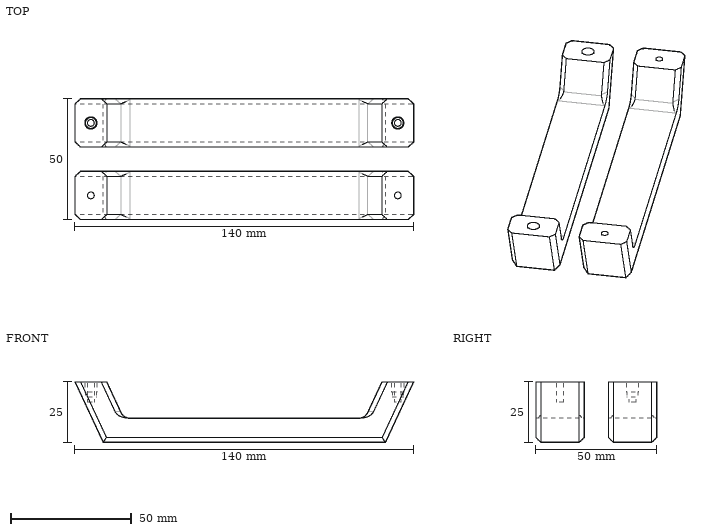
import cadquery as cq
import math

LENGTH = 140.0
TOTAL_DEPTH = 50.0
HEIGHT = 25.0
HANDLE_DEPTH = 20.0

LEG_ANGLE = 65.0
BAR_THICKNESS = 10.1
LEG_TOP_LENGTH = 13.2
EDGE_CHAMFER = 2.1
INNER_FILLET = 3.9

HOLE_INSET = 6.6
PILOT_DIAMETER = 2.8
PILOT_DEPTH = 8.4
STEP_DIAMETER = 4.5
STEP_DEPTH = 6.3
COUNTERBORE_DIAMETER = 5.0
COUNTERBORE_DEPTH = 4.2

SLOPE_RUN = 1 / math.tan(math.radians(LEG_ANGLE))
HALF_LENGTH = LENGTH / 2
HALF_FOOT = HALF_LENGTH - HEIGHT * SLOPE_RUN
HALF_INNER_TOP = HALF_LENGTH - LEG_TOP_LENGTH
HALF_INNER_FLOOR = HALF_INNER_TOP - (HEIGHT - BAR_THICKNESS) * SLOPE_RUN
HOLE_X = HALF_LENGTH - HOLE_INSET
HANDLE_OFFSET = (TOTAL_DEPTH - HANDLE_DEPTH) / 2
CUTTER_WIDTH = 7.0
CUTTER_REACH = 14.0


def outer_block():
    """Solid trapezoid around a handle, with its sloping ends and underside chamfered."""
    block = (
        cq.Workplane("XZ")
        .moveTo(-HALF_LENGTH, HEIGHT)
        .lineTo(-HALF_FOOT, 0)
        .lineTo(HALF_FOOT, 0)
        .lineTo(HALF_LENGTH, HEIGHT)
        .close()
        .extrude(HANDLE_DEPTH / 2, both=True)
    )
    return block.faces("not(>Z or <Y or >Y)").edges("<Y or >Y").chamfer(EDGE_CHAMFER)


def grip_space():
    """Space between the legs, with rounded lower corners."""
    return (
        cq.Workplane("XZ")
        .moveTo(-HALF_INNER_TOP, HEIGHT)
        .lineTo(-HALF_INNER_FLOOR, BAR_THICKNESS)
        .lineTo(HALF_INNER_FLOOR, BAR_THICKNESS)
        .lineTo(HALF_INNER_TOP, HEIGHT)
        .close()
        .extrude(HANDLE_DEPTH / 2, both=True)
        .edges("<Z and |Y")
        .fillet(INNER_FILLET)
    )


def leg_corner_cut():
    """Cutter for the inner chamfer of the front left leg, rounded where it runs onto the bar.

    It is a prism along the level line in which the chamfer plane meets the top of the bar.
    """
    chamfer_run = EDGE_CHAMFER / math.sin(math.radians(LEG_ANGLE))
    chamfer_width = math.hypot(chamfer_run, EDGE_CHAMFER)
    side_corner = (-HALF_INNER_FLOOR - chamfer_run, -HANDLE_DEPTH / 2, BAR_THICKNESS)
    section_plane = cq.Plane(
        origin=side_corner,
        xDir=(EDGE_CHAMFER, -chamfer_run, 0),
        normal=(-chamfer_run, -EDGE_CHAMFER, 0),
    )
    leg_height = HEIGHT - BAR_THICKNESS
    slope_offset = leg_height * SLOPE_RUN * EDGE_CHAMFER / chamfer_width
    return (
        cq.Workplane(section_plane)
        .lineTo(CUTTER_WIDTH, 0)
        .lineTo(CUTTER_WIDTH, leg_height)
        .lineTo(-slope_offset, leg_height)
        .close()
        .extrude(CUTTER_REACH, both=True)
        .edges(cq.selectors.NearestToPointSelector(side_corner))
        .fillet(INNER_FILLET)
    )


def handle_body():
    """Handle with chamfered side edges and rounded inner corners."""
    front_left = leg_corner_cut()
    front_right = front_left.mirror("YZ")
    handle = outer_block().cut(grip_space())
    for cutter in (front_left, front_right):
        handle = handle.cut(cutter).cut(cutter.mirror("XZ"))
    return handle


def drill_legs(handle, diameter, depth):
    """Sink one vertical blind hole into the top of each leg."""
    holes = (
        cq.Workplane("XY")
        .workplane(offset=HEIGHT - depth)
        .pushPoints([(-HOLE_X, 0), (HOLE_X, 0)])
        .circle(diameter / 2)
        .extrude(depth)
    )
    return handle.cut(holes)


front_handle = drill_legs(handle_body(), PILOT_DIAMETER, PILOT_DEPTH).translate((0, -HANDLE_OFFSET, 0))

back_handle = drill_legs(handle_body(), PILOT_DIAMETER, PILOT_DEPTH)
back_handle = drill_legs(back_handle, STEP_DIAMETER, STEP_DEPTH)
back_handle = drill_legs(back_handle, COUNTERBORE_DIAMETER, COUNTERBORE_DEPTH)
back_handle = back_handle.translate((0, HANDLE_OFFSET, 0))

result = cq.Compound.makeCompound([front_handle.val(), back_handle.val()])